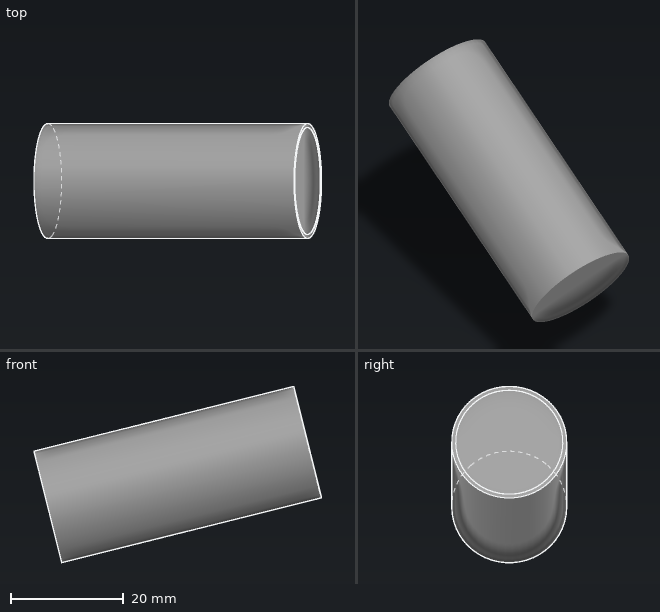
import cadquery as cq
import math

bar_diameter = 20.45
bar_length = 47.65
tilt_angle = 14.0
recess_diameter = 19.05
recess_depth = 0.1

tilt = math.radians(tilt_angle)
axis_direction = cq.Vector(math.cos(tilt), 0, math.sin(tilt))


def rod(start, diameter, length):
    """Cylinder along the tilted axis, starting at a distance along that axis."""
    return cq.Solid.makeCylinder(diameter / 2, length, axis_direction * start, axis_direction)


bar = cq.Workplane(obj=rod(-bar_length / 2, bar_diameter, bar_length))

recess = cq.Workplane(obj=rod(bar_length / 2 - recess_depth, recess_diameter, recess_depth))

result = bar.cut(recess)